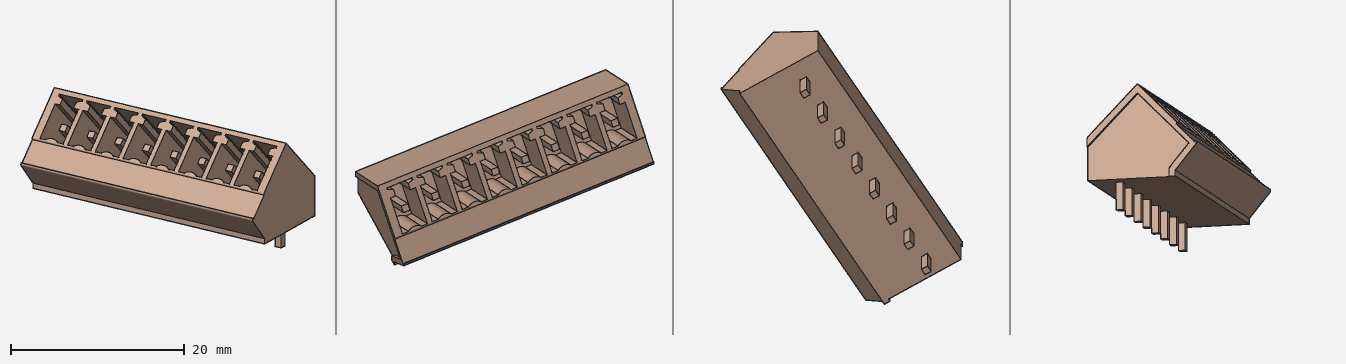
import cadquery as cq
import math


length = 31.87
ridge_height = 11.0
ridge_back = 6.02
toe_back = 10.55
toe_height = 0.67
undercut_angle = 50.0
lip_radius = 0.3

land_end = 6.55
band_depth = 0.2

panel_margin = 0.75
panel_depth = 0.32

contact_count = 8
contact_span = 26.68
pitch = contact_span / (contact_count - 1)
first_contact = (length - contact_span) / 2

pocket_width = 3.2
neck_width = 1.88
slot_top = 0.65
slot_end = 0.85
neck_top = 1.1
neck_bottom = 1.9
pocket_bottom = 6.47
pocket_depth = 6.05
key_width = 1.65
key_height = 0.32

pin_width = 0.83
blade_down = 4.1
blade_tip_depth = 1.2
leg_back = 3.3
leg_drop = 3.22

slope_angle = 45.0
diagonal = math.sqrt(0.5)
face = cq.Plane(
    origin=(0, -ridge_back, ridge_height), xDir=(1, 0, 0), normal=(0, -diagonal, diagonal)
)


def on_face(down, depth=0.0):
    """(Y, Z) of a point given in front-face distances."""
    return (
        -ridge_back + (depth - down) * diagonal,
        ridge_height - (depth + down) * diagonal,
    )


def extrude_along_x(outline, start, width):
    """Extrude a closed (Y, Z) outline along +X."""
    return cq.Workplane("YZ", origin=(start, 0, 0)).polyline(outline).close().extrude(width)


undercut_slope = math.tan(math.radians(undercut_angle))
slope_sum = ridge_height + ridge_back
front_back = (slope_sum - toe_height + toe_back * undercut_slope) / (1 + undercut_slope)
front_height = slope_sum - front_back
front_down = (front_back - ridge_back) / diagonal


def make_blank():
    """Housing profile with the rounded front lip, before any recesses."""
    outline = [
        (0, 0),
        (0, ridge_height - ridge_back),
        (-ridge_back, ridge_height),
        (-front_back, front_height),
        (-toe_back, toe_height),
        (-toe_back, 0),
    ]
    blank = extrude_along_x(outline, 0, length)
    lip_edge = cq.selectors.NearestToPointSelector((length / 2, -front_back, front_height))
    return blank.edges(lip_edge).fillet(lip_radius)


def make_label_band():
    """Cutter for the label band, from the rounded end of the land to the start of the lip round."""
    round_offset = band_depth * diagonal
    corner_angle = math.radians(slope_angle + undercut_angle)
    lip_start = front_down - lip_radius / math.tan(corner_angle / 2)
    return (
        cq.Workplane("YZ")
        .moveTo(*on_face(land_end))
        .threePointArc(
            on_face(land_end + round_offset, band_depth - round_offset),
            on_face(land_end + band_depth, band_depth),
        )
        .lineTo(*on_face(lip_start, band_depth))
        .lineTo(*on_face(lip_start))
        .close()
        .extrude(length)
    )


def make_end_panel():
    """Cutter for the left-end recess: the profile set in by the rim, open at the rear and underside."""
    outline = [
        (panel_margin, -panel_margin),
        (panel_margin, ridge_height - ridge_back - panel_margin),
        (-ridge_back, ridge_height),
        (-front_back, front_height),
        (-toe_back, toe_height),
        (-toe_back, -panel_margin),
    ]
    return cq.Workplane("YZ").polyline(outline).close().offset2D(-panel_margin).extrude(panel_depth)


def make_pocket(center):
    """Cutter for one pocket: a wide cavity, a narrow neck and a flared slot, less its rounded key."""
    half_width = pocket_width / 2
    half_neck = neck_width / 2
    right_side = [
        (half_width, -slot_top),
        (half_width, -slot_end),
        (half_neck, -neck_top),
        (half_neck, -neck_bottom),
        (half_width, -neck_bottom),
        (half_width, -pocket_bottom),
    ]
    left_side = [(-across, up) for across, up in reversed(right_side)]
    outline = right_side + left_side
    cavity = cq.Workplane(face).center(center, 0).polyline(outline).close().extrude(-pocket_depth)
    key = (
        cq.Workplane(face)
        .center(center, -pocket_bottom)
        .moveTo(-key_width / 2, 0)
        .threePointArc((0, key_height), (key_width / 2, 0))
        .close()
        .extrude(-pocket_depth)
    )
    return cavity.cut(key)


def make_pin(center):
    """Square contact: a blade square to the front face, bent into an upright leg."""
    half = pin_width / 2
    upper = blade_down - half
    lower = blade_down + half
    leg_rear = -leg_back + half
    leg_front = -leg_back - half

    def blade_height(edge_down, y):
        """Height of a blade edge at the given Y; the blade falls at 45 degrees toward the rear."""
        return ridge_height - ridge_back - edge_down / diagonal - y

    outline = [
        on_face(upper, blade_tip_depth),
        on_face(lower, blade_tip_depth),
        (leg_front, blade_height(lower, leg_front)),
        (leg_front, -leg_drop),
        (leg_rear, -leg_drop),
        (leg_rear, blade_height(upper, leg_rear)),
    ]
    return extrude_along_x(outline, center - half, pin_width)


contact_centers = [first_contact + index * pitch for index in range(contact_count)]
pins = [make_pin(center) for center in contact_centers]

housing = make_blank().cut(make_label_band()).cut(make_end_panel())
for center, pin in zip(contact_centers, pins):
    housing = housing.cut(make_pocket(center)).cut(pin)

result = cq.Compound.makeCompound([housing.val()] + [pin.val() for pin in pins])